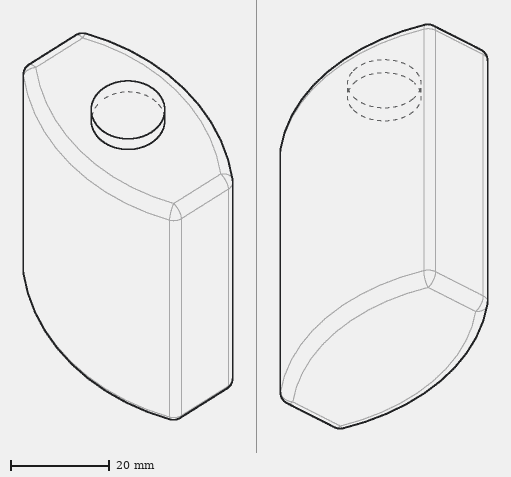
import cadquery as cq

width = 50.0
thickness = 30.0
body_height = 70.0
neck_diameter = 15.0
neck_height = 3.5
edge_radius = 2.5

half_width = width / 2
half_thickness = thickness / 2
half_end_wall = thickness / 4


def make_body():
    """Flask body: two flat ends joined by bowed front and back walls, all edges rounded."""
    profile = (
        cq.Workplane("XY")
        .moveTo(-half_width, -half_end_wall)
        .threePointArc((0, -half_thickness), (half_width, -half_end_wall))
        .lineTo(half_width, half_end_wall)
        .threePointArc((0, half_thickness), (-half_width, half_end_wall))
        .close()
    )
    return profile.extrude(body_height).edges().fillet(edge_radius)


def make_neck():
    """Solid round neck standing on the top face."""
    return cq.Workplane("XY").workplane(offset=body_height).circle(neck_diameter / 2).extrude(neck_height)


result = make_body().union(make_neck())